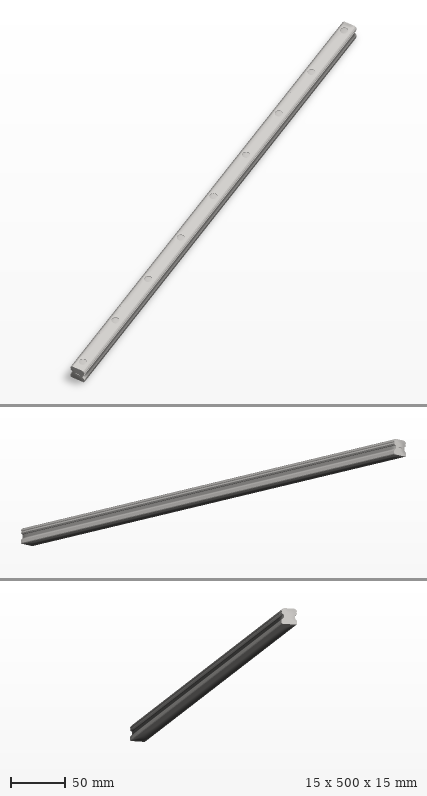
import cadquery as cq

LENGTH = 500.0
WIDTH = 15.0
HEIGHT = 15.0

BOTTOM_CHAMFER = 0.6
BASE_SIDE_TOP = 3.6

NECK_WIDTH = 10.6
NECK_BOTTOM = 6.0
NECK_TOP = 9.0

UNDERSIDE_WIDTH = 12.6
HEAD_SIDE_BOTTOM = 10.2
GROOVE_BOTTOM = 10.6
GROOVE_TOP = 12.2
GROOVE_DEPTH = 0.5
HEAD_SIDE_TOP = 13.0
SHOULDER_WIDTH = 12.6
SHOULDER_HEIGHT = 14.4
TOP_FLAT_WIDTH = 10.0

RECESS_COUNT = 9
RECESS_PITCH = 60.0
RECESS_DIAMETER = 7.5
RECESS_DEPTH = 0.5

SLOT_WIDTH = 5.0
SLOT_HEIGHT = 0.8
SLOT_DEPTH = 0.5
SLOT_CENTER_Z = HEIGHT / 2


def make_half_rail():
    """Extrude the +X half of the cross-section over the full length."""
    side = WIDTH / 2
    neck = NECK_WIDTH / 2
    groove_middle = (GROOVE_BOTTOM + GROOVE_TOP) / 2
    profile = (
        cq.Workplane("XZ")
        .moveTo(0, 0)
        .lineTo(side - BOTTOM_CHAMFER, 0)
        .lineTo(side, BOTTOM_CHAMFER)
        .lineTo(side, BASE_SIDE_TOP)
        .lineTo(neck, NECK_BOTTOM)
        .lineTo(neck, NECK_TOP)
        .lineTo(UNDERSIDE_WIDTH / 2, NECK_TOP)
        .lineTo(side, HEAD_SIDE_BOTTOM)
        .lineTo(side, GROOVE_BOTTOM)
        .threePointArc((side - GROOVE_DEPTH, groove_middle), (side, GROOVE_TOP))
        .lineTo(side, HEAD_SIDE_TOP)
        .lineTo(SHOULDER_WIDTH / 2, SHOULDER_HEIGHT)
        .lineTo(TOP_FLAT_WIDTH / 2, HEIGHT)
        .lineTo(0, HEIGHT)
        .close()
    )
    return profile.extrude(LENGTH / 2, both=True)


def make_rail():
    """Join the half rail with its mirror image about the YZ plane."""
    half = make_half_rail()
    return half.union(half.mirror("YZ")).clean()


def make_top_recesses():
    """Cutters for the evenly spaced round recesses, centred along the rail."""
    return (
        cq.Workplane("XY", origin=(0, 0, HEIGHT))
        .rarray(1, RECESS_PITCH, 1, RECESS_COUNT)
        .circle(RECESS_DIAMETER / 2)
        .extrude(-RECESS_DEPTH)
    )


def make_end_slot():
    """Cutter for the slot in the -Y end face."""
    return (
        cq.Workplane("XZ", origin=(0, -LENGTH / 2, SLOT_CENTER_Z))
        .rect(SLOT_WIDTH, SLOT_HEIGHT)
        .extrude(-SLOT_DEPTH)
    )


result = make_rail().cut(make_top_recesses()).cut(make_end_slot())